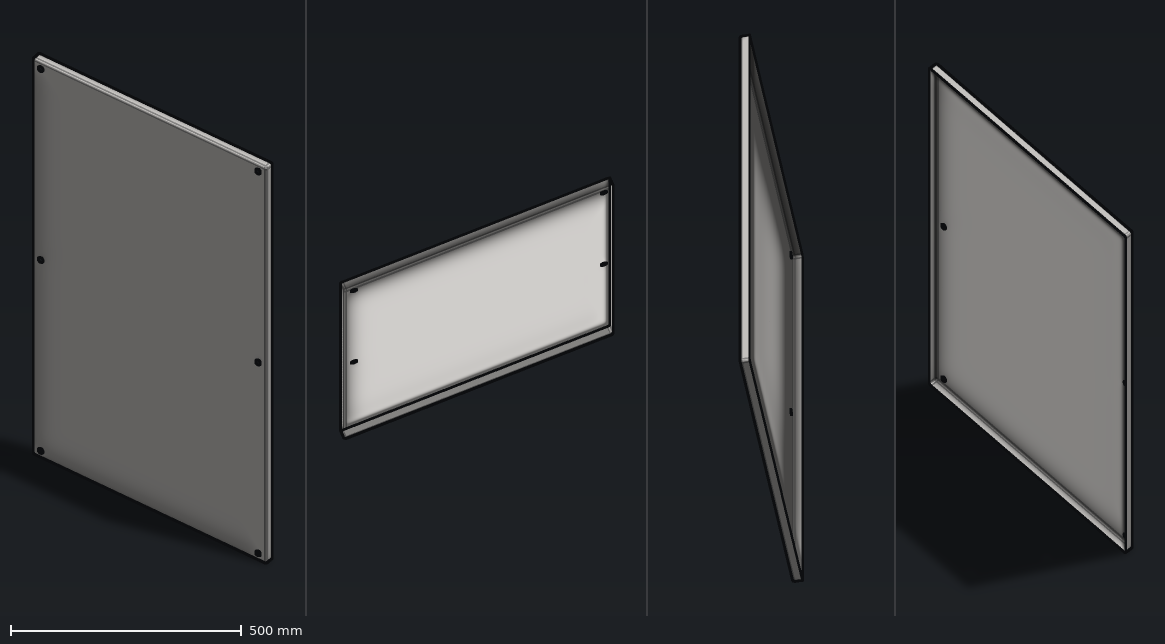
import cadquery as cq

width = 631.0
depth = 22.0
height = 1118.0

sheet = 1.5
bend_radius = 6.0
corner_radius = 7.0

hole_diameter = 13.0
hole_side_inset = 23.0
hole_end_inset = 21.0


def rounded_block(inset):
    """Block with rounded corners and front edges, set in from the front and rims and flush at the back."""
    block = cq.Workplane("XY").box(width - 2 * inset, depth - inset, height - 2 * inset)
    block = block.translate((0, inset / 2, 0))
    block = block.edges("|Y").fillet(corner_radius - inset)
    return block.faces("<Y").edges().fillet(bend_radius - inset)


def mounting_holes():
    """Cylinders along Y at the six hole positions."""
    side = width / 2 - hole_side_inset
    end = height / 2 - hole_end_inset
    positions = [(x, z) for x in (-side, side) for z in (-end, 0, end)]
    holes = cq.Workplane("XZ").pushPoints(positions).circle(hole_diameter / 2)
    return holes.extrude(depth, both=True)


tray = rounded_block(0).cut(rounded_block(sheet))
result = tray.cut(mounting_holes())